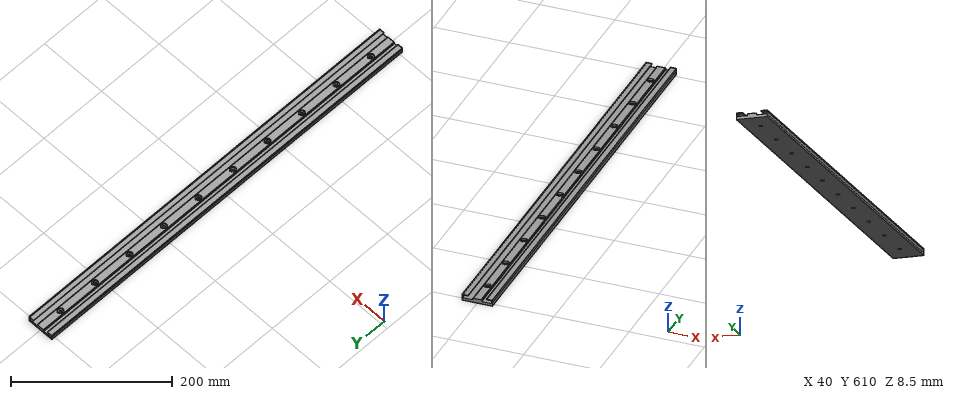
import cadquery as cq

length = 610.0
width = 40.0
height = 8.5

wall = 0.9
floor_thickness = 3.5
lip_reach = 8.0
lip_thickness = 1.1
hump_width = 12.0
hump_height = 6.0
hump_chamfer = 0.9

hole_count = 10
hole_row_length = 540.0
hole_pitch = hole_row_length / (hole_count - 1)
hole_diameter = 4.5
counterbore_diameter = 8.5
counterbore_depth = 2.5


def rail_profile():
    """Closed cross-section: a floor with a raised centre and two inward lips."""
    half_width = width / 2
    inner_wall = half_width - wall
    lip_end = half_width - lip_reach
    lip_underside = height - lip_thickness
    hump_side = hump_width / 2
    right_side = [
        (half_width, 0),
        (half_width, height),
        (lip_end, height),
        (lip_end, lip_underside),
        (inner_wall, lip_underside),
        (inner_wall, floor_thickness),
        (hump_side, floor_thickness),
        (hump_side, hump_height - hump_chamfer),
        (hump_side - hump_chamfer, hump_height),
    ]
    left_side = [(-x, z) for x, z in reversed(right_side)]
    return right_side + left_side


def rail_body():
    """Extrude the section along Y, centred on the origin."""
    section = cq.Workplane("XZ").polyline(rail_profile()).close()
    return section.extrude(length / 2, both=True)


def add_mounting_holes(body):
    """Cut a row of counterbored through holes along the raised centre."""
    hump_top = body.copyWorkplane(cq.Workplane("XY", origin=(0, 0, hump_height)))
    hole_places = hump_top.rarray(6, hole_pitch, 1, hole_count)
    return hole_places.cboreHole(hole_diameter, counterbore_diameter, counterbore_depth)


result = add_mounting_holes(rail_body())